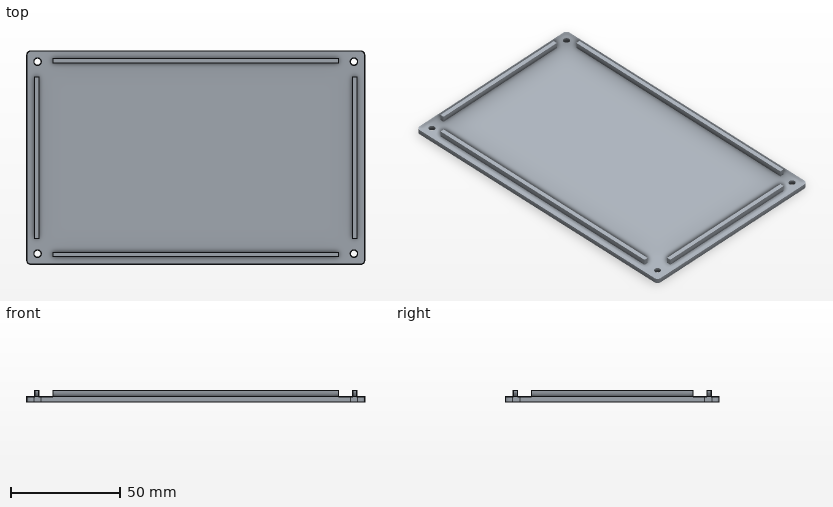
import cadquery as cq

plate_length = 155.0
plate_width = 98.0
plate_thickness = 2.5
corner_radius = 2.0

hole_diameter = 3.3
hole_inset = 5.0

total_height = 5.5
rib_height = total_height - plate_thickness
rib_thickness = 2.0
rib_edge_gap = 3.5
rib_end_gap = 12.0

rib_inset = rib_edge_gap + rib_thickness / 2


def make_plate():
    """Flat plate with rounded corners and a through hole near each corner."""
    plate = (
        cq.Workplane("XY")
        .rect(plate_length, plate_width)
        .extrude(plate_thickness)
        .edges("|Z")
        .fillet(corner_radius)
    )
    return (
        plate.faces(">Z")
        .workplane(origin=(0, 0, plate_thickness))
        .rect(plate_length - 2 * hole_inset, plate_width - 2 * hole_inset, forConstruction=True)
        .vertices()
        .hole(hole_diameter)
    )


def make_rib(center_x, center_y, size_x, size_y):
    """Rectangular rib standing on the top face of the plate."""
    return (
        cq.Workplane("XY", origin=(center_x, center_y, plate_thickness))
        .rect(size_x, size_y)
        .extrude(rib_height)
    )


result = make_plate()
for side in (-1, 1):
    long_rib = make_rib(
        0, side * (plate_width / 2 - rib_inset), plate_length - 2 * rib_end_gap, rib_thickness
    )
    short_rib = make_rib(
        side * (plate_length / 2 - rib_inset), 0, rib_thickness, plate_width - 2 * rib_end_gap
    )
    result = result.union(long_rib).union(short_rib)